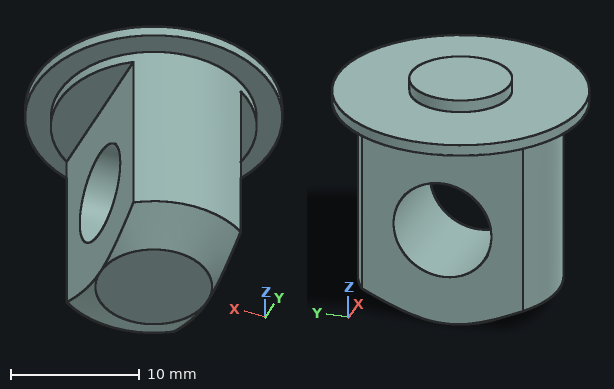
import cadquery as cq
import math

total_height = 19.0
boss_height = 1.0
flange_thickness = 0.9
collar_height = 0.9

boss_diameter = 8.0
flange_diameter = 20.0
body_diameter = 16.0

cone_height = 2.0
cone_angle = 30.0

hole_diameter = 8.0
hole_center_height = 8.0

flange_top = total_height - boss_height
flange_bottom = flange_top - flange_thickness
flat_top = flange_bottom - collar_height
body_radius = body_diameter / 2
tip_radius = body_radius - cone_height / math.tan(math.radians(cone_angle))
flat_offset = tip_radius


def turned_blank():
    """Boss, flange and cone-ended body revolved about Z."""
    boss_radius = boss_diameter / 2
    flange_radius = flange_diameter / 2
    profile = [
        (0, 0),
        (tip_radius, 0),
        (body_radius, cone_height),
        (body_radius, flange_bottom),
        (flange_radius, flange_bottom),
        (flange_radius, flange_top),
        (boss_radius, flange_top),
        (boss_radius, total_height),
        (0, total_height),
    ]
    return cq.Workplane("XZ").polyline(profile).close().revolve(360, (0, 0), (0, 1))


def flat_cutter(side):
    """Block removing the body beyond one flat; side is +1 or -1 along X."""
    cut_depth = body_radius
    center_x = side * (flat_offset + cut_depth / 2)
    return (
        cq.Workplane("XY")
        .center(center_x, 0)
        .rect(cut_depth, body_diameter)
        .extrude(flat_top)
    )


def cross_hole():
    """Through hole along X, square to the flats."""
    return (
        cq.Workplane("YZ")
        .center(0, hole_center_height)
        .circle(hole_diameter / 2)
        .extrude(body_radius, both=True)
    )


result = turned_blank()
for side in (-1, 1):
    result = result.cut(flat_cutter(side))
result = result.cut(cross_hole())